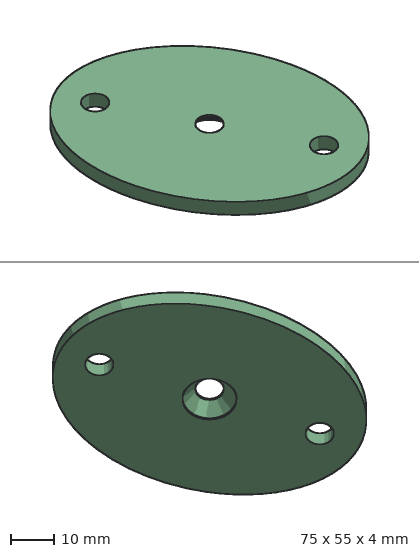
import cadquery as cq

plate_length = 75.0
plate_width = 55.0
plate_thickness = 4.0

hole_diameter = 6.5
hole_spacing = 27.5
hole_radius = hole_diameter / 2

mouth_depth = 0.5
lip_thickness = 0.5
cone_height = plate_thickness - mouth_depth - lip_thickness
mouth_radius = hole_radius + cone_height


def make_plate():
    return cq.Workplane("XY").ellipse(plate_length / 2, plate_width / 2).extrude(plate_thickness)


def make_holes():
    centres = [(-hole_spacing, 0), (0, 0), (hole_spacing, 0)]
    return cq.Workplane("XY").pushPoints(centres).circle(hole_radius).extrude(plate_thickness)


def make_countersink():
    cone_top = mouth_depth + cone_height
    half_section = [
        (0, 0),
        (mouth_radius, 0),
        (mouth_radius, mouth_depth),
        (hole_radius, cone_top),
        (0, cone_top),
    ]
    return cq.Workplane("XZ").polyline(half_section).close().revolve(360, (0, 0), (0, 1))


result = make_plate().cut(make_holes()).cut(make_countersink())